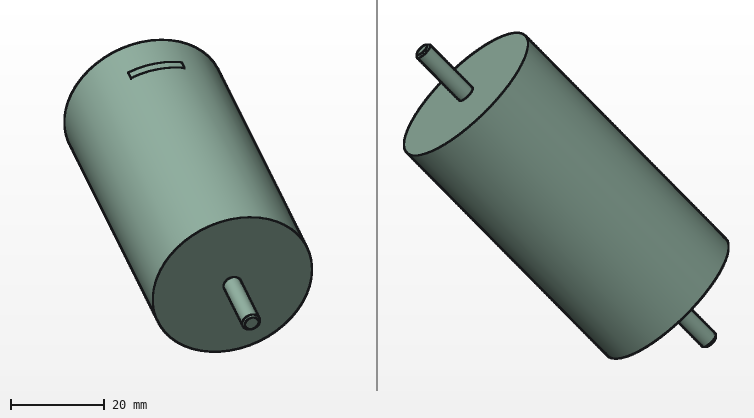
import cadquery as cq

total_length = 92.0
case_diameter = 35.5
case_length = 64.0

lead_diameter = 4.0
lead_chamfer = 0.5
lead_length = (total_length - case_length) / 2

marker_offset = 8.0
marker_width = 2.0
marker_span = 12.0
marker_thickness = 0.5

case_radius = case_diameter / 2
case_start = -case_length / 2


def cylinder_along_x(start, length, diameter):
    """Cylinder on the X axis, beginning at X = start."""
    return cq.Workplane("YZ", origin=(start, 0, 0)).circle(diameter / 2).extrude(length)


def make_marker():
    """Strip of a thin tube, trimmed to the marker span on the +Z side."""
    marker_start = case_start + marker_offset
    outer = cylinder_along_x(marker_start, marker_width, case_diameter)
    inner = cylinder_along_x(marker_start, marker_width, case_diameter - 2 * marker_thickness)
    trim = cq.Workplane("XY").box(
        marker_width, marker_span, case_radius, centered=(False, True, False)
    ).translate((marker_start, 0, 0))
    return outer.cut(inner).intersect(trim)


def make_case(marker):
    """Solid cylindrical case with a recess that matches the marker."""
    return cylinder_along_x(case_start, case_length, case_diameter).cut(marker)


def make_lead(side):
    """Round lead with a chamfered free end; side is -1 or +1 along X."""
    start = side * case_length / 2
    lead = cylinder_along_x(start, side * lead_length, lead_diameter)
    free_end = ">X" if side > 0 else "<X"
    return lead.faces(free_end).chamfer(lead_chamfer)


marker = make_marker()
case = make_case(marker)
leads = [make_lead(side) for side in (-1, 1)]

result = cq.Compound.makeCompound([case.val(), marker.val(), *[lead.val() for lead in leads]])